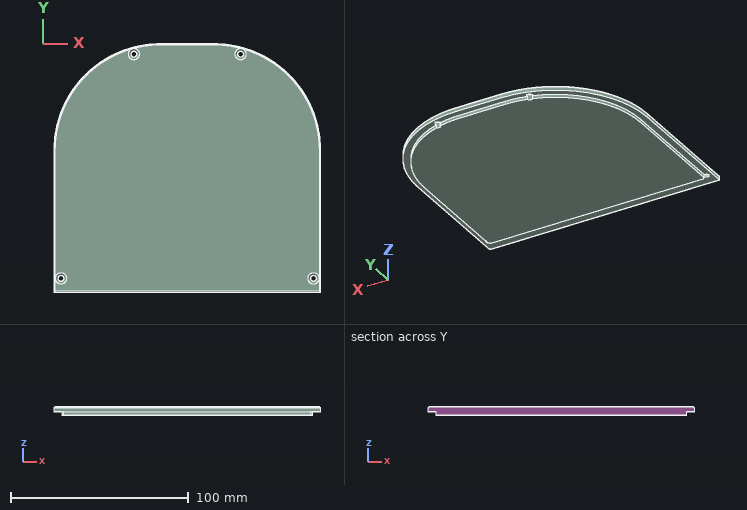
import cadquery as cq

width = 150.0
depth = 140.0
plate_thickness = 3.0
corner_radius = 60.0
edge_chamfer = 0.8

step_height = 2.0
step_inset = 4.5
step_front_inset = 8.5

hole_diameter = 3.2
countersink_diameter = 6.3
countersink_angle = 90.0
front_hole_side_inset = 4.0
front_hole_inset = 8.0
rear_hole_half_spacing = 30.0
rear_hole_inset = 6.0

top_z = step_height + plate_thickness


def rounded_slab(inset, front_inset, bottom_z, height):
    """Plate outline moved inwards, with its two rear corners rounded."""
    slab_depth = depth - inset - front_inset
    return (
        cq.Workplane("XY", origin=(0, front_inset, bottom_z))
        .rect(width - 2 * inset, slab_depth)
        .extrude(height)
        .translate((0, slab_depth / 2, 0))
        .edges("|Z and >Y")
        .fillet(corner_radius - inset)
    )


plate = (
    rounded_slab(0, 0, step_height, plate_thickness)
    .faces(">Z")
    .chamfer(edge_chamfer)
)
step = rounded_slab(step_inset, step_front_inset, 0, step_height)

hole_centers = []
for side in (-1, 1):
    hole_centers.append((side * (width / 2 - front_hole_side_inset), front_hole_inset))
    hole_centers.append((side * rear_hole_half_spacing, depth - rear_hole_inset))

result = (
    plate.union(step)
    .copyWorkplane(cq.Workplane("XY", origin=(0, 0, top_z)))
    .pushPoints(hole_centers)
    .cskHole(hole_diameter, countersink_diameter, countersink_angle)
)